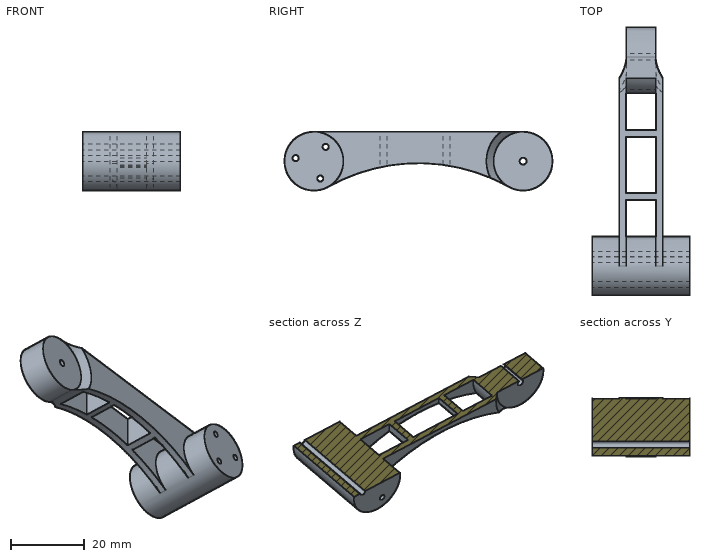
import cadquery as cq
import math

total_length = 72.9
barrel_radius = 8.0
main_barrel_width = 26.6
small_barrel_width = 8.0
barrel_spacing = total_length - 2 * barrel_radius

wall = 2.0
arm_width = small_barrel_width + 2 * wall
underside_radius = 50.0
flare_radius = barrel_radius + wall
rib_starts = (17.85, 35.0)

pivot_hole_diameter = 1.8
screw_hole_diameter = 1.6
screw_circle_radius = 5.0
screw_count = 3
first_screw_angle = 50.4


def cylinder_x(radius, width, y=0.0, z=0.0):
    """Cylinder along X, centred on the plane X = 0."""
    return cq.Workplane("YZ").center(y, z).circle(radius).extrude(width / 2, both=True)


def block(width, y_start, y_end):
    """Full-height block centred on X, spanning the given Y range."""
    return cq.Workplane("XY").box(width, y_end - y_start, 2 * barrel_radius).translate(
        (0, (y_start + y_end) / 2, 0)
    )


def arm_blank():
    """Flat-topped arm whose arched underside is tangent to both barrels."""
    half_spacing = barrel_spacing / 2
    centre_distance = underside_radius + barrel_radius
    arch_centre_z = -math.sqrt(centre_distance**2 - half_spacing**2)
    tangent_y = half_spacing * barrel_radius / centre_distance
    tangent_z = arch_centre_z * barrel_radius / centre_distance
    return (
        cq.Workplane("YZ")
        .moveTo(0, 0)
        .lineTo(0, barrel_radius)
        .lineTo(barrel_spacing, barrel_radius)
        .lineTo(barrel_spacing, 0)
        .lineTo(barrel_spacing - tangent_y, tangent_z)
        .threePointArc((half_spacing, arch_centre_z + underside_radius), (tangent_y, tangent_z))
        .close()
        .extrude(arm_width / 2, both=True)
    )


def flare_relief(side):
    """Cone around the small barrel that widens outward from its end face."""
    inner_x = side * small_barrel_width / 2
    outer_x = side * arm_width / 2
    return (
        cq.Workplane("XY")
        .moveTo(inner_x, barrel_spacing)
        .lineTo(inner_x, barrel_spacing + barrel_radius)
        .lineTo(outer_x, barrel_spacing + flare_radius)
        .lineTo(outer_x, barrel_spacing)
        .close()
        .revolve(360, (0, barrel_spacing, 0), (1, barrel_spacing, 0))
    )


window = block(small_barrel_width, 0, barrel_spacing)
window = window.cut(cylinder_x(flare_radius, small_barrel_width, barrel_spacing))
for rib_start in rib_starts:
    window = window.cut(block(small_barrel_width, rib_start, rib_start + wall))

arm = arm_blank().cut(window)
for side in (-1, 1):
    arm = arm.cut(flare_relief(side))

result = (
    arm.union(cylinder_x(barrel_radius, main_barrel_width))
    .union(cylinder_x(barrel_radius, small_barrel_width, barrel_spacing))
)

result = result.cut(cylinder_x(pivot_hole_diameter / 2, small_barrel_width, barrel_spacing))

for index in range(screw_count):
    angle = math.radians(first_screw_angle + index * 360 / screw_count)
    screw_y = screw_circle_radius * math.cos(angle)
    screw_z = screw_circle_radius * math.sin(angle)
    result = result.cut(cylinder_x(screw_hole_diameter / 2, main_barrel_width, screw_y, screw_z))

result = result.translate((0, -barrel_spacing / 2, 0))